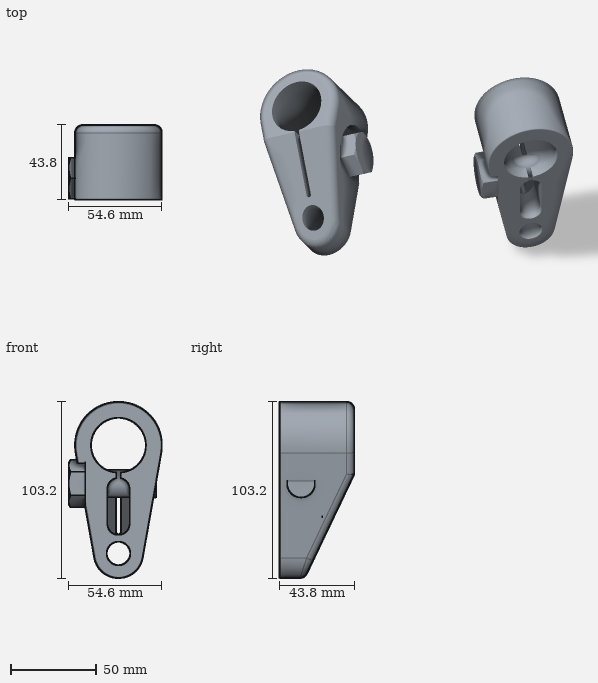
import cadquery as cq
import math

LENGTH = 103.2
DEPTH = 43.8
HEAD_RADIUS = 25.5
FOOT_RADIUS = 14.4
FOOT_Z = HEAD_RADIUS + FOOT_RADIUS - LENGTH
BACK_FILLET = 4.6
FRONT_FILLET = 0.6

SLOPE_TOP_Z = -16.8
SLOPE_ANGLE = math.radians(25.5)

BORE_RADIUS = 16.0
FOOT_HOLE_RADIUS = 6.8
POCKET_WIDTH = 13.0
POCKET_TOP_Z = -19.1
POCKET_BOTTOM_Z = -52.4
POCKET_WALL = 6.2
SLIT_WIDTH = 2.8
SLIT_BOTTOM_Z = -52.1

BOLT_Y = 12.7
BOLT_Z = -22.4
BOLT_RADIUS = 8.2
BOLT_TIP_X = 22.2
HEAD_FLATS = 24.1
HEAD_SEAT_X = -19.3
HEAD_OUTER_X = -29.1
HEAD_CHAMFER_ANGLE = math.radians(30)
SPOTFACE_RADIUS = 17.4


def outline():
    """Closed outline of the two round ends and their common tangents."""
    sine = (HEAD_RADIUS - FOOT_RADIUS) / -FOOT_Z
    cosine = math.sqrt(1 - sine**2)
    head_x, head_z = HEAD_RADIUS * cosine, -HEAD_RADIUS * sine
    foot_x, foot_z = FOOT_RADIUS * cosine, FOOT_Z - FOOT_RADIUS * sine
    return (
        cq.Workplane("XZ")
        .moveTo(-head_x, head_z)
        .threePointArc((0, HEAD_RADIUS), (head_x, head_z))
        .lineTo(foot_x, foot_z)
        .threePointArc((0, FOOT_Z - FOOT_RADIUS), (-foot_x, foot_z))
        .close()
    )


def space_behind_back(wall):
    """Space behind the surface lying a wall thickness inside the flat and sloping back."""
    top_z, bottom_z = LENGTH, -LENGTH
    far_y = 2 * DEPTH
    flat_y = DEPTH - wall
    bend_z = SLOPE_TOP_Z + wall * math.tan(SLOPE_ANGLE / 2)
    bottom_y = flat_y - (bend_z - bottom_z) * math.tan(SLOPE_ANGLE)
    return (
        cq.Workplane("YZ")
        .polyline([(flat_y, top_z), (flat_y, bend_z), (bottom_y, bottom_z), (far_y, bottom_z), (far_y, top_z)])
        .close()
        .extrude(LENGTH, both=True)
    )


def round_hole(z, radius):
    return cq.Workplane("XZ").center(0, z).circle(radius).extrude(-DEPTH)


def upright_slot(width, top_z, bottom_z):
    """Round-ended slot along Z, running from front to back."""
    return (
        cq.Workplane("XZ")
        .center(0, (top_z + bottom_z) / 2)
        .slot2D(top_z - bottom_z, width, 90)
        .extrude(-DEPTH)
    )


def bolt_plane(x):
    return cq.Workplane("YZ", origin=(x, BOLT_Y, BOLT_Z))


def make_body():
    body = outline().extrude(-DEPTH).cut(space_behind_back(0))
    slope_normal = cq.Vector(0, math.cos(SLOPE_ANGLE), -math.sin(SLOPE_ANGLE))
    flat_edges = body.faces(">Y").edges("not |X")
    slope_edges = body.faces(cq.selectors.ParallelDirSelector(slope_normal)).edges("not |X")
    body = flat_edges.add(slope_edges).fillet(BACK_FILLET)
    return body.faces("<Y").edges().fillet(FRONT_FILLET)


def make_bolt():
    """Bolt with its hexagon points along Z and a conical chamfer on the head."""
    corner_radius = HEAD_FLATS / 2 / math.cos(math.pi / 6)
    head_height = HEAD_SEAT_X - HEAD_OUTER_X
    hexagon = (
        bolt_plane(HEAD_OUTER_X)
        .transformed(rotate=(0, 0, 90))
        .polygon(6, 2 * corner_radius)
        .extrude(head_height)
    )
    face_radius = HEAD_FLATS / 2
    seat_radius = face_radius + head_height / math.tan(HEAD_CHAMFER_ANGLE)
    cone = (
        bolt_plane(HEAD_OUTER_X)
        .circle(face_radius)
        .workplane(offset=head_height)
        .circle(seat_radius)
        .loft()
    )
    shank = bolt_plane(HEAD_SEAT_X).circle(BOLT_RADIUS).extrude(BOLT_TIP_X - HEAD_SEAT_X)
    return hexagon.intersect(cone).union(shank)


pocket = upright_slot(POCKET_WIDTH, POCKET_TOP_Z, POCKET_BOTTOM_Z).cut(space_behind_back(POCKET_WALL))
slit = upright_slot(SLIT_WIDTH, 0, SLIT_BOTTOM_Z)
spotface = bolt_plane(HEAD_SEAT_X).circle(SPOTFACE_RADIUS).extrude(-HEAD_RADIUS)

result = (
    make_body()
    .cut(round_hole(0, BORE_RADIUS))
    .cut(round_hole(FOOT_Z, FOOT_HOLE_RADIUS))
    .cut(pocket)
    .cut(slit)
    .cut(spotface)
    .union(make_bolt())
)